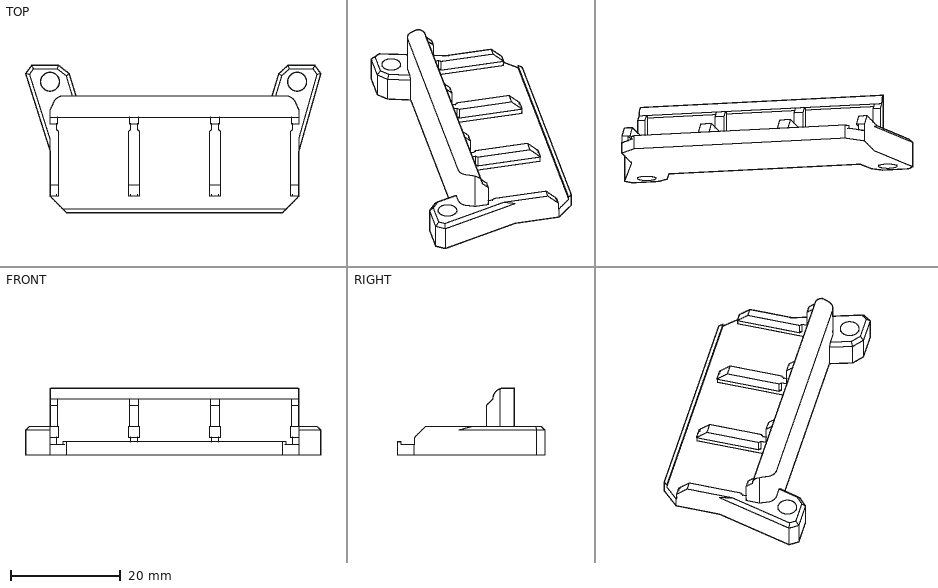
import cadquery as cq
import math


tray_width = 45.3
tray_center_x = 0.18
front_corner_chamfer = 3.0
wall_back_y = 21.3
wall_thickness = 3.95
end_taper_depth = 2.6
end_taper_inset = 1.15
end_corner_radius = 2.0

floor_z = 1.95
rib_top_z = 5.2
wall_top_z = 12.2
wall_round_radius = 2.0
alcove_top_z = wall_top_z - wall_round_radius

sill_depth = 0.65
sill_height = 0.5
rib_front_y = 3.1
rib_ramp = 2.0

post_depth = 1.15
post_overhang = 2.1

bay_count = 3
bay_width = 12.75
bay_pitch = 14.75
rib_undercut = 0.38
post_undercut = 0.15
neck_front_y = 15.22
alcove_depth = 2.0

hole_spacing = 45.0
hole_diameter = 3.4
ear_back_y = 26.87
hole_back_margin = 3.0
hole_y = ear_back_y - hole_back_margin
ear_corner_depth = 1.54
ear_top_chamfer = 0.65
ear_front_y = 11.2
ear_root_inset = 1.0
left_ear_outer_x = -26.95
ear_span = 53.78
right_ear_outer_x = left_ear_outer_x + ear_span
ear_outer_corner = 1.1
ear_back_edge_end = 6.0
left_ear_width = 7.97
right_ear_width = 7.7
ear_inner_angle = 16.8

tray_left_x = tray_center_x - tray_width / 2
tray_right_x = tray_center_x + tray_width / 2
wall_front_y = wall_back_y - wall_thickness
post_front_y = wall_front_y - post_depth
alcove_back_y = wall_front_y + alcove_depth
undercut_top_z = rib_top_z - rib_ramp


def box(x_center, width, y_start, y_end, z_start, z_end):
    """Box centred on x_center between the given Y and Z limits."""
    base = cq.Workplane("XY", origin=(x_center, y_start, z_start))
    return base.box(width, y_end - y_start, z_end - z_start, centered=(True, False, False))


def tray_side_profile():
    """Solid with the side outline of sill, floor, ribs, posts and wall, swept over the tray width."""
    sill_top_z = floor_z + sill_height
    round_start_y = wall_front_y + wall_round_radius
    round_middle = (
        round_start_y - wall_round_radius * math.cos(math.pi / 4),
        alcove_top_z + wall_round_radius * math.sin(math.pi / 4),
    )
    return (
        cq.Workplane("YZ", origin=(tray_left_x, 0, 0))
        .lineTo(0, sill_top_z)
        .lineTo(sill_depth, sill_top_z)
        .lineTo(sill_depth, floor_z)
        .lineTo(rib_front_y, floor_z)
        .lineTo(rib_front_y, undercut_top_z)
        .lineTo(rib_front_y + rib_ramp, rib_top_z)
        .lineTo(post_front_y, rib_top_z)
        .lineTo(post_front_y, alcove_top_z - post_depth)
        .lineTo(wall_front_y, alcove_top_z)
        .threePointArc(round_middle, (round_start_y, wall_top_z))
        .lineTo(wall_back_y, wall_top_z)
        .lineTo(wall_back_y, 0)
        .close()
        .extrude(tray_width)
    )


def tray_plan():
    """Plan outline of the tray: chamfered front corners, tapered and rounded back corners."""
    outline = [
        (tray_left_x + front_corner_chamfer, 0),
        (tray_right_x - front_corner_chamfer, 0),
        (tray_right_x, front_corner_chamfer),
        (tray_right_x, wall_back_y - end_taper_depth),
        (tray_right_x - end_taper_inset, wall_back_y),
        (tray_left_x + end_taper_inset, wall_back_y),
        (tray_left_x, wall_back_y - end_taper_depth),
        (tray_left_x, front_corner_chamfer),
    ]
    plan = cq.Workplane("XY").polyline(outline).close().extrude(wall_top_z)
    return plan.edges("|Z and >Y").fillet(end_corner_radius)


def ear(outer_x, ear_width, tray_edge_x):
    """Mounting ear with a chamfered top edge; its root runs into the tray."""
    inward = math.copysign(1, -outer_x)
    corner_y = ear_back_y - ear_corner_depth
    root_y = wall_back_y - ear_root_inset
    root_shift = (corner_y - root_y) * math.tan(math.radians(ear_inner_angle))
    outline = [
        (tray_edge_x, ear_front_y),
        (outer_x, corner_y),
        (outer_x + inward * ear_outer_corner, ear_back_y),
        (outer_x + inward * ear_back_edge_end, ear_back_y),
        (outer_x + inward * ear_width, corner_y),
        (outer_x + inward * (ear_width + root_shift), root_y),
        (tray_edge_x + inward * ear_root_inset, ear_front_y),
    ]
    solid = cq.Workplane("XY").polyline(outline).close().extrude(rib_top_z)
    return solid.faces(">Z").chamfer(ear_top_chamfer)


def bay(x_center):
    """Space removed between two ribs, widened near the floor, behind the ribs and under the wall."""
    wide = bay_width + 2 * rib_undercut
    between_posts = bay_width + 2 * post_undercut
    post_back_y = post_front_y + post_overhang
    half_bay = bay_width / 2
    half_wide = wide / 2
    neck_outline = [
        (x_center - half_bay, sill_depth),
        (x_center + half_bay, sill_depth),
        (x_center + half_bay, neck_front_y - rib_undercut),
        (x_center + half_wide, neck_front_y),
        (x_center + half_wide, alcove_back_y),
        (x_center - half_wide, alcove_back_y),
        (x_center - half_wide, neck_front_y),
        (x_center - half_bay, neck_front_y - rib_undercut),
    ]
    between_ribs = (
        cq.Workplane("XY", origin=(0, 0, floor_z)).polyline(neck_outline).close().extrude(rib_top_z - floor_z)
    )
    return (
        between_ribs.union(box(x_center, wide, sill_depth, alcove_back_y, floor_z, undercut_top_z))
        .union(box(x_center, between_posts, post_front_y, alcove_back_y, rib_top_z, alcove_top_z))
        .union(box(x_center, wide, post_back_y, alcove_back_y, rib_top_z, alcove_top_z))
    )


def mounting_holes():
    """Through holes in both ears."""
    centers = [(-hole_spacing / 2, hole_y), (hole_spacing / 2, hole_y)]
    return cq.Workplane("XY").pushPoints(centers).circle(hole_diameter / 2).extrude(rib_top_z)


result = tray_side_profile().intersect(tray_plan())
result = result.union(ear(left_ear_outer_x, left_ear_width, tray_left_x))
result = result.union(ear(right_ear_outer_x, right_ear_width, tray_right_x))
for index in range(bay_count):
    bay_offset = (index - (bay_count - 1) / 2) * bay_pitch
    result = result.cut(bay(tray_center_x + bay_offset))
result = result.cut(mounting_holes())